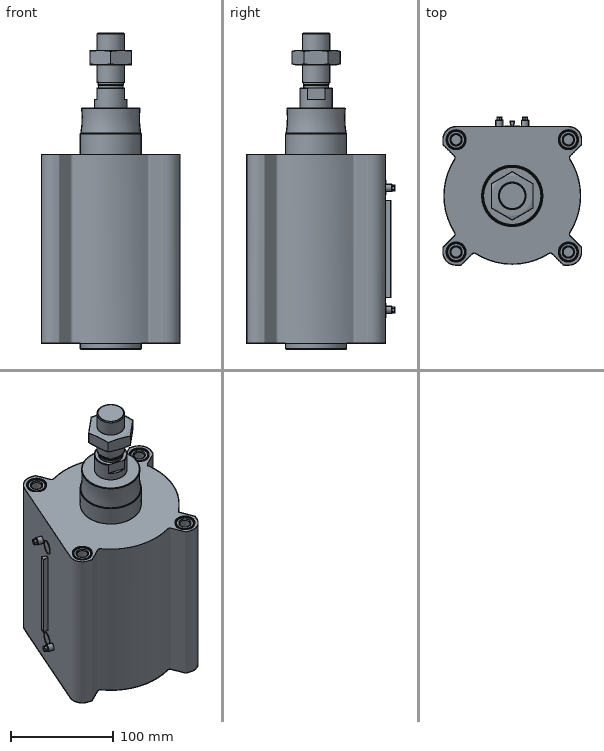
import cadquery as cq
import math

BODY_WIDTH = 136.0
BODY_HEIGHT = 185.0
BARREL_RADIUS = 67.0
MOUNT_OFFSET = 55.0
LOBE_RADIUS = BODY_WIDTH / 2 - MOUNT_OFFSET
LOBE_STRIP_WIDTH = 25.0
NECK_FILLET = 2.5
LOBE_EDGE_FILLET = 1.5
BACK_FACE = BODY_WIDTH / 2

SINK_RIM_DIAMETER = 19.6
SINK_DIAMETER = 18.63
SUNK_FACE_DIAMETER = 18.0
SUNK_FACE_CHAMFER = 0.75
GROOVE_DEPTH = 1.0
MOUNT_BORE_DIAMETER = 10.11
MOUNT_BORE_RIM_DIAMETER = 12.0
MOUNT_BORE_DEPTH = 30.0

BOSS_DIAMETER = 60.0
BOSS_HEIGHT = 6.0
BOSS_CHAMFER = 0.8
COLLAR_HEIGHT = 20.8
COLLAR_CHAMFER = 0.6
CAP_HEIGHT = 24.7
CAP_CHAMFER = 0.6
CAP_BOTTOM_RADIUS = BOSS_DIAMETER / 2 - COLLAR_CHAMFER
CAP_WAIST_RADIUS = 28.2
CAP_TOP_RADIUS = 28.6
CAP_TOP = BODY_HEIGHT + COLLAR_HEIGHT + CAP_HEIGHT

SCREW_OFFSET = 12.6
SCREW_DIAMETER = 7.4
SCREW_LENGTH = 6.1
SCREW_CHAMFER = 0.4
SCREW_HEX_DIAMETER = 5.78
SCREW_REACH = 9.1
SCREW_FROM_END = 32.8
PORT_DIAMETER = 14.0
PORT_THICKNESS = 0.5
PORT_FROM_END = 32.3
RAIL_LENGTH = 95.3
RAIL_HEIGHT = 5.2
RAIL_EDGE = 0.9
RAIL_STEM_HEIGHT = 1.6
RAIL_WIDTH = 4.6
RAIL_STEM_WIDTH = 2.9

ROD_DIAMETER = 32.0
ROD_SHOULDER_HEIGHT = 19.5
ROD_CHAMFER = 0.5
FLAT_WIDTH = 27.0
FLAT_HEIGHT = 11.0
THREAD_DIAMETER = 27.0
THREAD_END_CHAMFER = 1.0
THREAD_LENGTH = 48.3
RUNOUT_DIAMETER = 24.84
RUNOUT_LENGTH = 2.4
RUNOUT_TAPER = 0.7
UNDERCUT_DIAMETER = 24.3
STUD_LENGTH = 54.0
SHOULDER_Z = CAP_TOP + ROD_SHOULDER_HEIGHT
ROD_TOP = SHOULDER_Z + STUD_LENGTH

NUT_ACROSS_FLATS = 41.0
NUT_HEIGHT = 14.3
NUT_FROM_ROD_TOP = 17.0
NUT_FACE_DIAMETER = 39.5
NUT_CHAMFER_ANGLE = 15.0


def make_barrel_block():
    """Prism of the housing cross-section."""
    barrel = cq.Workplane("XY").circle(BARREL_RADIUS).extrude(BODY_HEIGHT)
    for angle in (45, 135):
        strip = cq.Workplane("XY").rect(2 * BODY_WIDTH, LOBE_STRIP_WIDTH).extrude(BODY_HEIGHT)
        barrel = barrel.union(strip.rotate((0, 0, 0), (0, 0, 1), angle))
    back_fill = (
        cq.Workplane("XY")
        .polyline([(0, 0), (BODY_WIDTH, BODY_WIDTH), (-BODY_WIDTH, BODY_WIDTH)])
        .close()
        .extrude(BODY_HEIGHT)
    )
    envelope = (
        cq.Workplane("XY")
        .rect(BODY_WIDTH, BODY_WIDTH)
        .extrude(BODY_HEIGHT)
        .edges("|Z")
        .fillet(LOBE_RADIUS)
    )
    block = barrel.union(back_fill).intersect(envelope)
    return round_lobe_edges(block)


def fillet_lobe_edges(block, near, far, radius):
    """Fillet the six upright edges that lie near and far from the axes on the lobe flanks."""
    edges = [(sx * far, sy * near) for sx in (-1, 1) for sy in (-1, 1)]
    edges += [(sx * near, -far) for sx in (-1, 1)]
    for x, y in edges:
        middle = (x, y, BODY_HEIGHT / 2)
        block = block.edges(cq.selectors.NearestToPointSelector(middle)).fillet(radius)
    return block


def round_lobe_edges(block):
    """Round the necks between lobes and barrel, and the outer edges of the lobe flanks."""
    half_strip = LOBE_STRIP_WIDTH / 2
    along = math.sqrt(BARREL_RADIUS**2 - half_strip**2)
    neck_near = (along - half_strip) / math.sqrt(2)
    neck_far = (along + half_strip) / math.sqrt(2)
    block = fillet_lobe_edges(block, neck_near, neck_far, NECK_FILLET)
    outer_far = BODY_WIDTH / 2
    outer_near = outer_far - half_strip * math.sqrt(2)
    return fillet_lobe_edges(block, outer_near, outer_far, LOBE_EDGE_FILLET)


def make_mounting_cutter():
    """Cutter for one threaded bore in a sunk face with a narrow groove around it; mouth at Z = 0."""
    sink_radius = SINK_DIAMETER / 2
    rim_radius = SINK_RIM_DIAMETER / 2
    face_radius = SUNK_FACE_DIAMETER / 2
    bore_radius = MOUNT_BORE_DIAMETER / 2
    bore_rim_radius = MOUNT_BORE_RIM_DIAMETER / 2
    face_z = sink_radius - rim_radius
    bore_rim_z = face_z - (bore_rim_radius - bore_radius)
    groove_z = face_z - GROOVE_DEPTH
    profile = [
        (0, 0),
        (rim_radius, 0),
        (sink_radius, face_z),
        (sink_radius, groove_z),
        (face_radius, groove_z),
        (face_radius, face_z - SUNK_FACE_CHAMFER),
        (face_radius - SUNK_FACE_CHAMFER, face_z),
        (bore_rim_radius, face_z),
        (bore_radius, bore_rim_z),
        (bore_radius, -MOUNT_BORE_DEPTH),
        (0, -MOUNT_BORE_DEPTH),
    ]
    return cq.Workplane("XZ").polyline(profile).close().revolve(360, (0, 0, 0), (0, 1, 0))


def cut_mounting_points(block):
    cutter = make_mounting_cutter()
    for x in (-MOUNT_OFFSET, MOUNT_OFFSET):
        for y in (-MOUNT_OFFSET, MOUNT_OFFSET):
            block = block.cut(cutter.translate((x, y, BODY_HEIGHT)))
    return block


def make_boss():
    boss = cq.Workplane("XY").circle(BOSS_DIAMETER / 2).extrude(-BOSS_HEIGHT)
    return boss.faces("<Z").chamfer(BOSS_CHAMFER)


def make_collar():
    """Cylindrical collar carrying a slightly waisted cap."""
    ledge = BODY_HEIGHT + COLLAR_HEIGHT
    waist = (CAP_WAIST_RADIUS, ledge + CAP_HEIGHT / 2)
    return (
        cq.Workplane("XZ")
        .moveTo(0, BODY_HEIGHT)
        .lineTo(BOSS_DIAMETER / 2, BODY_HEIGHT)
        .lineTo(BOSS_DIAMETER / 2, ledge - COLLAR_CHAMFER)
        .lineTo(CAP_BOTTOM_RADIUS, ledge)
        .threePointArc(waist, (CAP_TOP_RADIUS, CAP_TOP - CAP_CHAMFER))
        .lineTo(CAP_TOP_RADIUS - CAP_CHAMFER, CAP_TOP)
        .lineTo(0, CAP_TOP)
        .close()
        .revolve(360, (0, 0, 0), (0, 1, 0))
    )


def make_adjusting_screw():
    """Round screw with a hexagon tip, standing on the back face at X = Z = 0."""
    seat = cq.Workplane("XZ", origin=(0, BACK_FACE, 0))
    screw = seat.circle(SCREW_DIAMETER / 2).extrude(-SCREW_LENGTH)
    screw = screw.faces(">Y").chamfer(SCREW_CHAMFER)
    tip = seat.transformed(rotate=(0, 0, 90)).polygon(6, SCREW_HEX_DIAMETER).extrude(-SCREW_REACH)
    return screw.union(tip)


def add_back_details(block):
    """One adjusting screw and one port disc near each end, and the rail between them."""
    screw = make_adjusting_screw()
    port = cq.Workplane("XZ", origin=(0, BACK_FACE, 0)).circle(PORT_DIAMETER / 2).extrude(-PORT_THICKNESS)
    middle = BODY_HEIGHT / 2
    for end in (-1, 1):
        screw_z = middle + end * (middle - SCREW_FROM_END)
        port_z = middle + end * (middle - PORT_FROM_END)
        block = block.union(screw.translate((end * SCREW_OFFSET, 0, screw_z)))
        block = block.union(port.translate((0, 0, port_z)))
    return block.union(make_rail())


def make_rail():
    """Rail whose head tapers down to a narrow stem."""
    head = RAIL_WIDTH / 2
    stem = RAIL_STEM_WIDTH / 2
    profile = [
        (-stem, 0),
        (stem, 0),
        (stem, RAIL_STEM_HEIGHT),
        (head, RAIL_HEIGHT - RAIL_EDGE),
        (head, RAIL_HEIGHT),
        (-head, RAIL_HEIGHT),
        (-head, RAIL_HEIGHT - RAIL_EDGE),
        (-stem, RAIL_STEM_HEIGHT),
    ]
    rail_bottom = (BODY_HEIGHT - RAIL_LENGTH) / 2
    plane = cq.Workplane("XY", origin=(0, BACK_FACE, rail_bottom))
    return plane.polyline(profile).close().extrude(RAIL_LENGTH)


def make_housing():
    block = cut_mounting_points(make_barrel_block())
    block = block.union(make_boss()).union(make_collar())
    return add_back_details(block)


def make_piston_rod():
    """Rod with two wrench flats, an undercut and a threaded end drawn smooth."""
    thread_bottom = ROD_TOP - THREAD_LENGTH
    thread_radius = THREAD_DIAMETER / 2
    profile = [
        (0, CAP_TOP),
        (ROD_DIAMETER / 2, CAP_TOP),
        (ROD_DIAMETER / 2, SHOULDER_Z - ROD_CHAMFER),
        (ROD_DIAMETER / 2 - ROD_CHAMFER, SHOULDER_Z),
        (UNDERCUT_DIAMETER / 2, SHOULDER_Z),
        (UNDERCUT_DIAMETER / 2, thread_bottom - RUNOUT_LENGTH - RUNOUT_TAPER),
        (RUNOUT_DIAMETER / 2, thread_bottom - RUNOUT_LENGTH),
        (RUNOUT_DIAMETER / 2, thread_bottom),
        (thread_radius, thread_bottom),
        (thread_radius, ROD_TOP - THREAD_END_CHAMFER),
        (thread_radius - THREAD_END_CHAMFER, ROD_TOP),
        (0, ROD_TOP),
    ]
    rod = cq.Workplane("XZ").polyline(profile).close().revolve(360, (0, 0, 0), (0, 1, 0))
    for side in (-1, 1):
        flat = cq.Workplane("XY").box(ROD_DIAMETER, ROD_DIAMETER, FLAT_HEIGHT)
        x = side * (FLAT_WIDTH + ROD_DIAMETER) / 2
        rod = rod.cut(flat.translate((x, 0, SHOULDER_Z - FLAT_HEIGHT / 2)))
    return rod


def make_nut():
    """Hexagon nut with flats facing X and coned corners on both faces."""
    corner_diameter = NUT_ACROSS_FLATS / math.cos(math.radians(30))
    bottom = ROD_TOP - NUT_FROM_ROD_TOP - NUT_HEIGHT
    top = bottom + NUT_HEIGHT
    hexagon = (
        cq.Workplane("XY", origin=(0, 0, bottom))
        .transformed(rotate=(0, 0, 30))
        .polygon(6, corner_diameter)
        .extrude(NUT_HEIGHT)
    )
    face_radius = NUT_FACE_DIAMETER / 2
    cone_radius = corner_diameter / 2
    cone_drop = (cone_radius - face_radius) * math.tan(math.radians(NUT_CHAMFER_ANGLE))
    outline = [
        (0, bottom),
        (face_radius, bottom),
        (cone_radius, bottom + cone_drop),
        (cone_radius, top - cone_drop),
        (face_radius, top),
        (0, top),
    ]
    cones = cq.Workplane("XZ").polyline(outline).close().revolve(360, (0, 0, 0), (0, 1, 0))
    bore = cq.Workplane("XY", origin=(0, 0, bottom)).circle(THREAD_DIAMETER / 2).extrude(NUT_HEIGHT)
    return hexagon.intersect(cones).cut(bore)


housing = make_housing()
piston_rod = make_piston_rod()
nut = make_nut()

result = cq.Compound.makeCompound([housing.val(), piston_rod.val(), nut.val()])